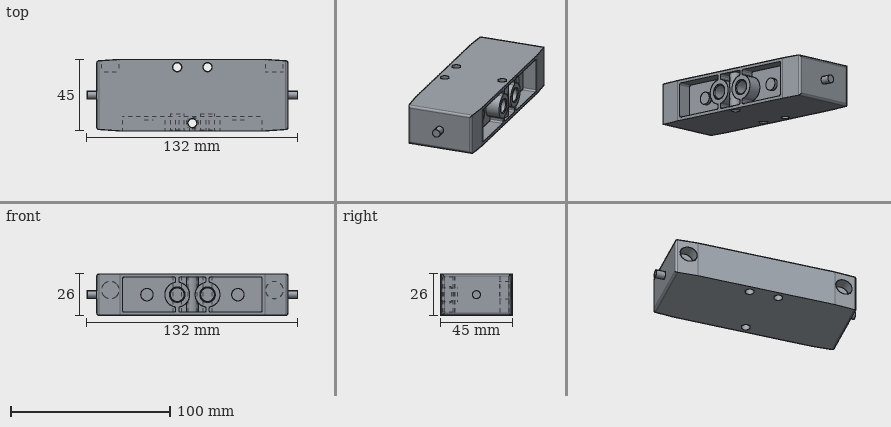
import cadquery as cq

body_length = 120.0
body_width = 45.0
body_height = 26.0
flat_length = 91.0
end_width = 43.0
end_round = 1.5

overall_length = 132.0
pin_diameter = 5.0

port_offset = 9.5
screw_diameter = 5.5
screw_offset = 17.5
screw_column_diameter = 7.5

pocket_length = 87.5
pocket_height = 22.0
pocket_depth = 9.0
pocket_corner = 1.0
web_thickness = 2.0
port_boss_diameter = 15.6
port_diameter = 8.6
port_mouth_diameter = 9.8
port_depth = 10.5
stud_diameter = 7.8
stud_offset = 3 * port_offset
stud_height = 2.1

pilot_diameter = 11.0
pilot_x = 51.5
pilot_z = 2.9
pilot_depth = 7.9

front_y = -body_width / 2
back_y = body_width / 2
pocket_floor_y = front_y + pocket_depth
port_positions = (-port_offset, port_offset)


def cylinder_along_y(diameter, x, y_start, y_end, z=0.0):
    start = cq.Vector(x, y_start, z)
    return cq.Workplane(cq.Solid.makeCylinder(diameter / 2, y_end - y_start, start, cq.Vector(0, 1, 0)))


def vertical_cylinder(diameter, x, y):
    return cq.Workplane().center(x, y).circle(diameter / 2).extrude(body_height / 2, both=True)


def tapered_body():
    back_right = [
        (flat_length / 2, body_width / 2),
        (body_length / 2, end_width / 2),
    ]
    right = back_right + [(x, -y) for x, y in reversed(back_right)]
    left = [(-x, -y) for x, y in right]
    block = cq.Workplane().polyline(right + left).close().extrude(body_height / 2, both=True)
    return block.faces("<X or >X").edges().fillet(end_round)


def front_block(length):
    """Block of the given length that spans the pocket's depth and height, centred on x = 0."""
    block = cq.Workplane().box(length, pocket_depth, pocket_height)
    return block.translate((0, front_y + pocket_depth / 2, 0))


def front_pocket():
    """Volume to remove: the pocket less its webs, port bosses, studs and screw column."""
    pocket = front_block(pocket_length)
    for x in port_positions:
        pocket = pocket.cut(front_block(web_thickness).translate((x, 0, 0)))
        pocket = pocket.cut(cylinder_along_y(port_boss_diameter, x, front_y, pocket_floor_y))
    pocket = pocket.edges("|Y").fillet(pocket_corner)
    for x in (-stud_offset, stud_offset):
        pocket = pocket.cut(cylinder_along_y(stud_diameter, x, pocket_floor_y - stud_height, pocket_floor_y))
    return pocket.cut(vertical_cylinder(screw_column_diameter, 0, -screw_offset))


def port(x):
    """Blind bore from the front face with a 45 degree countersunk mouth."""
    bore = cylinder_along_y(port_diameter, x, front_y, front_y + port_depth)
    mouth_depth = (port_mouth_diameter - port_diameter) / 2
    mouth = cq.Solid.makeCone(
        port_mouth_diameter / 2,
        port_diameter / 2,
        mouth_depth,
        cq.Vector(x, front_y, 0),
        cq.Vector(0, 1, 0),
    )
    return bore.union(cq.Workplane(mouth))


result = tapered_body().cut(front_pocket())

for x in port_positions:
    result = result.cut(port(x))

screw_positions = [(0, -screw_offset)] + [(x, screw_offset) for x in port_positions]
for x, y in screw_positions:
    result = result.cut(vertical_cylinder(screw_diameter, x, y))

for x in (-pilot_x, pilot_x):
    result = result.cut(cylinder_along_y(pilot_diameter, x, back_y - pilot_depth, back_y, pilot_z))

rod = cq.Workplane("YZ").circle(pin_diameter / 2).extrude(overall_length / 2, both=True)
result = result.union(rod)